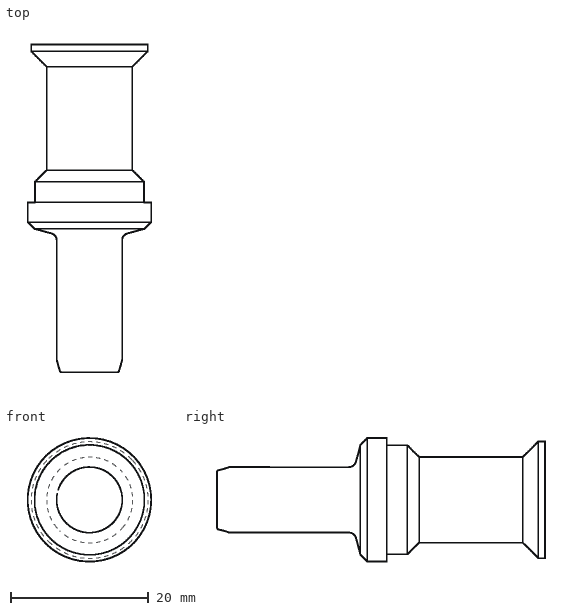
import cadquery as cq
import math

pin_diameter = 9.55
collar_diameter = 18.0
shoulder_diameter = 15.9
shank_diameter = 12.5
head_diameter = 17.0

total_length = 47.7
head_rim_length = 1.0
shank_length = 15.05
shoulder_length = 3.0
collar_rim_length = 2.85

collar_chamfer = 1.0
collar_face_angle = 15.0
pin_fillet_radius = 1.0
pin_taper_length = 1.8
pin_taper_angle = 16.0
pin_tip_radius = 0.35

pin_radius = pin_diameter / 2
collar_radius = collar_diameter / 2
shoulder_radius = shoulder_diameter / 2
shank_radius = shank_diameter / 2
head_radius = head_diameter / 2

y_head = total_length / 2
y_head_rim = y_head - head_rim_length
y_shank_top = y_head_rim - (head_radius - shank_radius)
y_shank_bottom = y_shank_top - shank_length
y_shoulder = y_shank_bottom - (shoulder_radius - shank_radius)
y_collar = y_shoulder - shoulder_length
y_collar_rim = y_collar - collar_rim_length
y_collar_face = y_collar_rim - collar_chamfer
y_tip = y_head - total_length
y_taper = y_tip + pin_taper_length
tip_radius = pin_radius - pin_taper_length * math.tan(math.radians(pin_taper_angle))

face_inner_radius = collar_radius - collar_chamfer
face_drop = (face_inner_radius - pin_radius) * math.tan(math.radians(collar_face_angle))
y_face_root = y_collar_face - face_drop

selection_margin = 0.01


def round_ring_edge(body, radius, y, fillet_radius):
    """Fillet the circular edges of the given radius lying at station y."""
    box = cq.selectors.BoxSelector(
        (-radius - selection_margin, y - selection_margin, -radius - selection_margin),
        (radius + selection_margin, y + selection_margin, radius + selection_margin),
        boundingbox=True,
    )
    return body.edges(box).fillet(fillet_radius)


def turned_body():
    """Revolve the half profile (radius along X) about the Y axis."""
    profile = [
        (0, y_tip),
        (tip_radius, y_tip),
        (pin_radius, y_taper),
        (pin_radius, y_face_root),
        (face_inner_radius, y_collar_face),
        (collar_radius, y_collar_rim),
        (collar_radius, y_collar),
        (shoulder_radius, y_collar),
        (shoulder_radius, y_shoulder),
        (shank_radius, y_shank_bottom),
        (shank_radius, y_shank_top),
        (head_radius, y_head_rim),
        (head_radius, y_head),
        (0, y_head),
    ]
    half_section = cq.Workplane("XY").polyline(profile).close()
    return half_section.revolve(360, (0, 0, 0), (0, 1, 0))


body = turned_body()
body = round_ring_edge(body, pin_radius, y_face_root, pin_fillet_radius)
result = round_ring_edge(body, tip_radius, y_tip, pin_tip_radius)